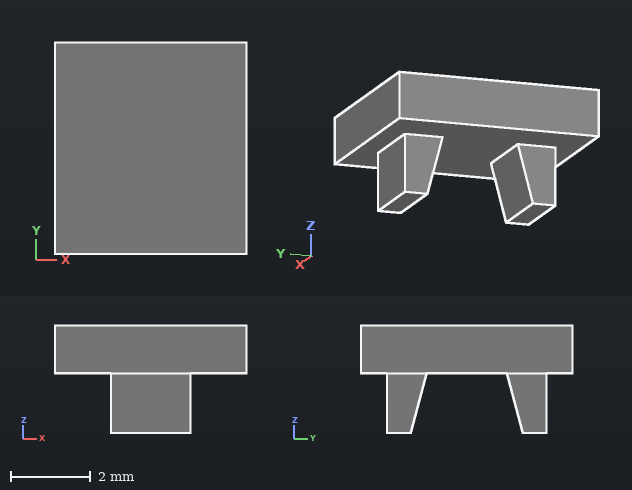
import cadquery as cq

plate_length_x = 4.8
plate_width_y = 5.3
plate_thickness = 1.2

leg_width_x = 2.0
leg_height = 1.5
leg_outer_span = 4.0
leg_root_thickness = 1.0
leg_tip_thickness = 0.6


def make_plate():
    """Plate with its underside on Z = 0, centred in X and Y."""
    return cq.Workplane("XY").box(
        plate_length_x, plate_width_y, plate_thickness, centered=(True, True, False)
    )


def make_leg(side):
    """Leg on the +Y (side = 1) or -Y (side = -1) half, with a sloped inner face."""
    outer_y = leg_outer_span / 2
    root_inner_y = outer_y - leg_root_thickness
    tip_inner_y = outer_y - leg_tip_thickness
    return (
        cq.Workplane("YZ")
        .moveTo(side * outer_y, 0)
        .lineTo(side * outer_y, -leg_height)
        .lineTo(side * tip_inner_y, -leg_height)
        .lineTo(side * root_inner_y, 0)
        .close()
        .extrude(leg_width_x / 2, both=True)
    )


result = make_plate()
for leg_side in (-1, 1):
    result = result.union(make_leg(leg_side))